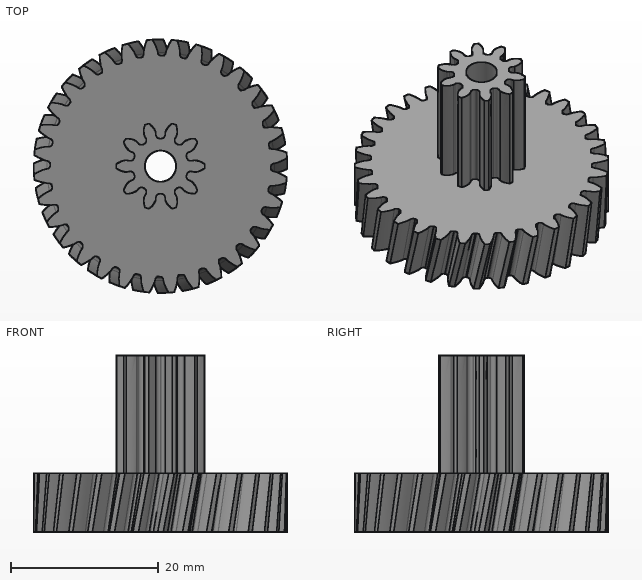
import cadquery as cq
import math

WHEEL_DIAMETER = 34.5
WHEEL_HEIGHT = 8.0
TOTAL_HEIGHT = 24.0
BORE_DIAMETER = 4.2

WHEEL_TEETH = 32
PINION_TEETH = 10
HELIX_ANGLE = math.radians(10)
NORMAL_PRESSURE_ANGLE = math.radians(20)
ADDENDUM = 1.0
DEDENDUM = 1.25
WHEEL_FILLET_HEIGHT = 0.5
PINION_FILLET_HEIGHT = 0.65
ROOT_LAND_WIDTH = 0.12
FLANK_STEPS = 5

module = WHEEL_DIAMETER / (WHEEL_TEETH / math.cos(HELIX_ANGLE) + 2 * ADDENDUM)
pinion_height = TOTAL_HEIGHT - WHEEL_HEIGHT


def polar(radius, angle):
    return (radius * math.cos(angle), radius * math.sin(angle))


def pitch_radius_of(teeth, helix_angle):
    return teeth * module / math.cos(helix_angle) / 2


def fillet_midpoint(land_radius, land_angle, end_point):
    """Middle of the arc that leaves the root circle tangentially and runs to end_point."""
    land_x, land_y = polar(land_radius, land_angle)
    out_x, out_y = polar(1.0, land_angle)
    chord_x = end_point[0] - land_x
    chord_y = end_point[1] - land_y
    chord_squared = chord_x**2 + chord_y**2
    fillet_radius = chord_squared / (2 * (chord_x * out_x + chord_y * out_y))
    centre_x = land_x + fillet_radius * out_x
    centre_y = land_y + fillet_radius * out_y
    middle_x = land_x + chord_x / 2 - centre_x
    middle_y = land_y + chord_y / 2 - centre_y
    stretch = fillet_radius / math.hypot(middle_x, middle_y)
    return (centre_x + stretch * middle_x, centre_y + stretch * middle_y)


def gear_outline(teeth, helix_angle, fillet_height):
    """Closed transverse gear outline with one tooth centred on +X."""
    pitch_radius = pitch_radius_of(teeth, helix_angle)
    pressure_angle = math.atan(math.tan(NORMAL_PRESSURE_ANGLE) / math.cos(helix_angle))
    base_radius = pitch_radius * math.cos(pressure_angle)
    tip_radius = pitch_radius + ADDENDUM * module
    root_radius = pitch_radius - DEDENDUM * module
    fillet_end_radius = root_radius + fillet_height * module
    flank_start_radius = max(base_radius, fillet_end_radius)
    half_pitch = math.pi / teeth

    def half_tooth_angle(radius):
        roll = math.acos(min(1.0, base_radius / radius))
        pitch_involute = math.tan(pressure_angle) - pressure_angle
        return half_pitch / 2 + pitch_involute - (math.tan(roll) - roll)

    flank_radii = [
        flank_start_radius + (tip_radius - flank_start_radius) * step / FLANK_STEPS
        for step in range(FLANK_STEPS + 1)
    ]
    fillet_end_angle = half_tooth_angle(fillet_end_radius)
    land_half_angle = ROOT_LAND_WIDTH * module / root_radius / 2
    has_radial_flank = flank_start_radius > fillet_end_radius

    outline = cq.Workplane("XY").moveTo(*polar(fillet_end_radius, -fillet_end_angle))
    for tooth in range(teeth):
        centre = 2 * half_pitch * tooth
        rising = [polar(r, centre - half_tooth_angle(r)) for r in flank_radii]
        falling = [polar(r, centre + half_tooth_angle(r)) for r in reversed(flank_radii)]
        if has_radial_flank:
            outline = outline.lineTo(*rising[0])
        outline = outline.spline(rising[1:], includeCurrent=True)
        outline = outline.threePointArc(polar(tip_radius, centre), falling[0])
        outline = outline.spline(falling[1:], includeCurrent=True)
        if has_radial_flank:
            outline = outline.lineTo(*polar(fillet_end_radius, centre + fillet_end_angle))
        gap_centre = centre + half_pitch
        land_start = gap_centre - land_half_angle
        land_end = gap_centre + land_half_angle
        fillet_start = polar(fillet_end_radius, centre + fillet_end_angle)
        fillet_end = polar(fillet_end_radius, centre + 2 * half_pitch - fillet_end_angle)
        outline = outline.threePointArc(
            fillet_midpoint(root_radius, land_start, fillet_start), polar(root_radius, land_start)
        )
        outline = outline.threePointArc(polar(root_radius, gap_centre), polar(root_radius, land_end))
        outline = outline.threePointArc(fillet_midpoint(root_radius, land_end, fillet_end), fillet_end)
    return outline.close()


wheel_pitch_radius = pitch_radius_of(WHEEL_TEETH, HELIX_ANGLE)
wheel_twist = math.degrees(WHEEL_HEIGHT * math.tan(HELIX_ANGLE) / wheel_pitch_radius)
wheel_outline = gear_outline(WHEEL_TEETH, HELIX_ANGLE, WHEEL_FILLET_HEIGHT)
wheel = wheel_outline.twistExtrude(WHEEL_HEIGHT, wheel_twist)

pinion_outline = gear_outline(PINION_TEETH, 0.0, PINION_FILLET_HEIGHT)
pinion = pinion_outline.extrude(pinion_height).translate((0, 0, WHEEL_HEIGHT))

bore = cq.Workplane("XY").circle(BORE_DIAMETER / 2).extrude(TOTAL_HEIGHT)

result = wheel.union(pinion).cut(bore)